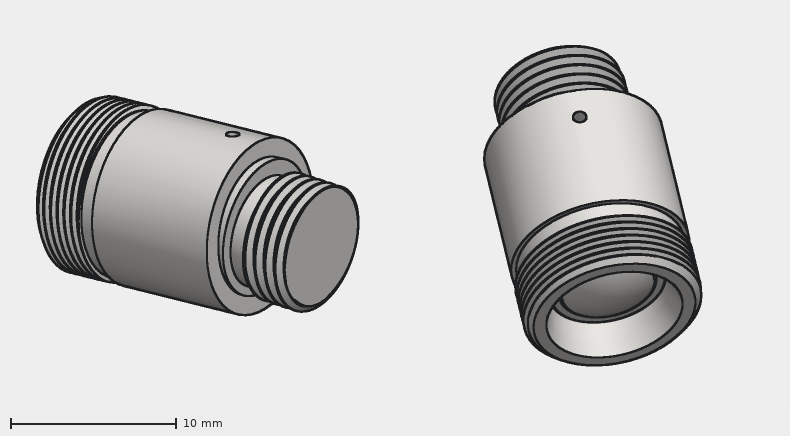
import cadquery as cq
import math


overall_length = 17.93

body_diameter = 11.0
body_start = 4.48
body_end = 13.04
front_pitch = 0.5
front_thread_end = 3.46
front_face_diameter = 9.97
flange_diameter = 8.6
mouth_diameter = 8.4
glue_hole_diameter = 0.8
glue_hole_x = 11.01

tilt_angle = 4.0
pivot_x = 10.11
flange_face = 3.28
neck_diameter = 7.01
rear_thread_start = 4.25
rear_thread_diameter = 8.0
rear_pitch = 0.75

front_crest = 0.77
rear_crest = 6.0

thread_depth_per_pitch = 0.61
crest_flat_per_pitch = 1 / 8
flank_angle = 30.0

root_overlap = 0.05
join_overlap = 0.18

cell_diameter = 7.2
cell_front = 2.15
cell_end = 12.2
cell_face_diameter = 7.03

lens_diameter = 6.0
lens_dome_diameter = 5.7
lens_apex = 1.15
lens_dome_height = 0.86
lens_bevel_end = 2.19
lens_back = 3.59

front_root_radius = body_diameter / 2 - thread_depth_per_pitch * front_pitch
rear_crest_radius = rear_thread_diameter / 2
rear_root_radius = rear_crest_radius - thread_depth_per_pitch * rear_pitch

tilt = math.radians(tilt_angle)
rear_end = (overall_length - pivot_x - rear_crest_radius * math.sin(tilt)) / math.cos(tilt)


def cylinder(start, end, diameter):
    """Cylinder on the X axis between two positions."""
    return cq.Workplane("YZ", origin=(start, 0, 0)).circle(diameter / 2).extrude(end - start)


def front_beveled(start, end, diameter, front_diameter):
    """Cylinder on the X axis whose front edge has a 45 degree bevel."""
    bevel = (diameter - front_diameter) / 2
    return cylinder(start, end, diameter).faces("<X").chamfer(bevel)


def thread_ridge(pitch, diameter, start, end, crest):
    """Right-handed helical ridge on the X axis, running past the start and the end."""
    depth = thread_depth_per_pitch * pitch
    crest_radius = diameter / 2
    base_radius = crest_radius - depth - root_overlap
    crest_half = crest_flat_per_pitch * pitch / 2
    base_half = crest_half + (depth + root_overlap) * math.tan(math.radians(flank_angle))

    first_crest = crest - pitch * (math.ceil((crest - start) / pitch) + 1)
    turns = math.ceil((end - first_crest) / pitch) + 1
    helix = cq.Wire.makeHelix(pitch, turns * pitch, base_radius)
    ridge = (
        cq.Workplane("XZ")
        .polyline([
            (base_radius, -base_half),
            (crest_radius, -crest_half),
            (crest_radius, crest_half),
            (base_radius, base_half),
        ])
        .close()
        .sweep(cq.Workplane(obj=helix), isFrenet=True)
    )
    ridge = ridge.rotate((0, 0, 0), (1, 1, 1), 120).rotate((0, 0, 0), (1, 0, 0), 90)
    return ridge.translate((first_crest, 0, 0))


def tilted(shape):
    """Move a shape from the X axis to the connector axis."""
    return shape.rotate((0, 0, 0), (0, 1, 0), tilt_angle).translate((pivot_x, 0, 0))


def make_front_thread():
    core = cylinder(-front_pitch, body_start, 2 * front_root_radius)
    ridge = thread_ridge(front_pitch, body_diameter, 0, front_thread_end, front_crest)
    ridge_limits = cylinder(-front_pitch / 2, front_thread_end, body_diameter + front_pitch)
    bevel_limits = front_beveled(0, body_start, body_diameter + front_pitch, front_face_diameter)
    return core.union(ridge.intersect(ridge_limits)).intersect(bevel_limits)


def make_flange():
    keep = tilted(cylinder(0, flange_face, 2 * body_diameter))
    return cylinder(body_end - join_overlap, pivot_x + rear_end, flange_diameter).intersect(keep)


def make_connector():
    neck = cylinder(flange_face - join_overlap, rear_thread_start, neck_diameter)
    core = cylinder(rear_thread_start, rear_end, 2 * rear_root_radius)
    ridge = thread_ridge(rear_pitch, rear_thread_diameter, rear_thread_start, rear_end, rear_crest)
    ridge_limits = cylinder(rear_thread_start, rear_end, rear_thread_diameter + rear_pitch)
    return tilted(core.union(ridge.intersect(ridge_limits)).union(neck))


def make_housing():
    housing = cylinder(body_start, body_end, body_diameter)
    housing = housing.union(make_front_thread()).union(make_flange()).union(make_connector())
    mouth = (
        cq.Workplane("YZ").circle(mouth_diameter / 2)
        .workplane(offset=cell_front).circle(cell_diameter / 2)
        .loft()
    )
    bore = cylinder(cell_front, cell_end, cell_diameter)
    glue_holes = (
        cq.Workplane("XY", origin=(glue_hole_x, 0, 0))
        .circle(glue_hole_diameter / 2)
        .extrude(body_diameter, both=True)
    )
    return housing.cut(mouth).cut(bore).cut(glue_holes)


def make_cell():
    cell = front_beveled(cell_front, cell_end, cell_diameter, cell_face_diameter)
    return cell.cut(cylinder(cell_front, cell_end, lens_diameter))


def make_lens():
    dome_radius = lens_dome_diameter / 2
    sphere_radius = (dome_radius**2 + lens_dome_height**2) / (2 * lens_dome_height)
    half_angle = math.asin(dome_radius / sphere_radius) / 2
    dome_middle = (
        lens_apex + sphere_radius * (1 - math.cos(half_angle)),
        sphere_radius * math.sin(half_angle),
    )
    return (
        cq.Workplane("XY")
        .moveTo(lens_apex, 0)
        .threePointArc(dome_middle, (lens_apex + lens_dome_height, dome_radius))
        .lineTo(lens_bevel_end, lens_diameter / 2)
        .lineTo(lens_back, lens_diameter / 2)
        .lineTo(lens_back, 0)
        .close()
        .revolve(360, (0, 0, 0), (1, 0, 0))
    )


housing = make_housing()
cell = make_cell()
lens = make_lens()

result = cq.Compound.makeCompound([housing.val(), cell.val(), lens.val()])